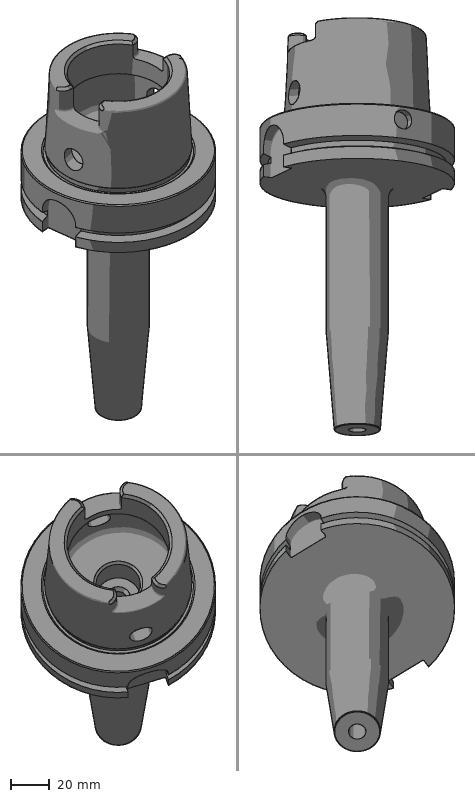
import cadquery as cq
import math

TOTAL_HEIGHT = 210.0
FLANGE_TOP = 160.4
FLANGE_BOTTOM = 131.0
NOSE_TAPER_TOP = 51.0

NECK_RADIUS = 16.0
NOSE_ANGLE = 4.5
NOSE_CHAMFER = 0.5
NECK_FILLET = 8.0

FLANGE_RADIUS = 50.0
FLANGE_CHAMFER = 0.6
GROOVE_FLOOR_RADIUS = 45.8
GROOVE_TOP = 143.2
GROOVE_BOTTOM = 137.3
GROOVE_SIDE_HEIGHT = 1.5

SHANK_BASE = 162.7
SHANK_BASE_RADIUS = 37.8
SHANK_TOP_RADIUS = 35.5
RIM_ROUND = 2.0
RIM_CHAMFER = 1.5

RELIEF_RADIUS = 37.2
RELIEF_OUTER_RADIUS = 39.5
RELIEF_DEPTH = 0.8

MOUTH_RADIUS = 26.2
MOUTH_DEPTH = 20.0
CAVITY_RADIUS = 31.5
CAVITY_FLOOR = 162.9
CAVITY_FILLET = 6.7
SHOULDER_HEIGHT = 3.1

TUBE_RADIUS = 11.3
TUBE_CHAMFER = 1.3
TUBE_DEPTH = 16.8
BORE_RADIUS = 4.5
BORE_CHAMFER = 1.9

SLOT_HALF_WIDTH = 9.9
SLOT_MOUTH_OFFSET = 32.1
POST_RADIUS = 6.0
POST_CURL = 30.0
SLOT_FLOOR_FILLET = 1.9
SILL_ROUND = 1.0
DEEP_SLOT = 15.0
SHALLOW_SLOT = 9.9

ACCESS_RADIUS = 6.0
ACCESS_HEIGHT = 174.8
ACCESS_TILT = 10.0

KEYWAY_HALF_WIDTH = 11.0
KEYWAY_TOP = 155.3
KEYWAY_FLOOR_OFFSET = 43.9
KEYWAY_FLOOR_FILLET = 0.6
CHIP_RADIUS = 5.0
CHIP_HEIGHT = 153.2
CHIP_DEPTH = 4.6

MARGIN = 10.5


def make_body():
    """Solid of revolution: nose, neck, flange, relief and shank."""
    tip_radius = NECK_RADIUS - NOSE_TAPER_TOP * math.tan(math.radians(NOSE_ANGLE))
    relief_top = SHANK_BASE - (SHANK_BASE_RADIUS - RELIEF_RADIUS)
    relief_floor = FLANGE_TOP - RELIEF_DEPTH
    profile = (
        cq.Workplane("XZ")
        .moveTo(0, 0)
        .lineTo(tip_radius - NOSE_CHAMFER, 0)
        .lineTo(tip_radius, NOSE_CHAMFER)
        .lineTo(NECK_RADIUS, NOSE_TAPER_TOP)
        .lineTo(NECK_RADIUS, FLANGE_BOTTOM - NECK_FILLET)
        .radiusArc((NECK_RADIUS + NECK_FILLET, FLANGE_BOTTOM), NECK_FILLET)
        .lineTo(FLANGE_RADIUS, FLANGE_BOTTOM)
        .lineTo(FLANGE_RADIUS, GROOVE_BOTTOM)
        .lineTo(GROOVE_FLOOR_RADIUS, GROOVE_BOTTOM + GROOVE_SIDE_HEIGHT)
        .lineTo(GROOVE_FLOOR_RADIUS, GROOVE_TOP - GROOVE_SIDE_HEIGHT)
        .lineTo(FLANGE_RADIUS, GROOVE_TOP)
        .lineTo(FLANGE_RADIUS, FLANGE_TOP - FLANGE_CHAMFER)
        .lineTo(FLANGE_RADIUS - FLANGE_CHAMFER, FLANGE_TOP)
        .lineTo(RELIEF_OUTER_RADIUS, FLANGE_TOP)
        .lineTo(RELIEF_OUTER_RADIUS - RELIEF_DEPTH, relief_floor)
        .lineTo(RELIEF_RADIUS, relief_floor)
        .lineTo(RELIEF_RADIUS, relief_top)
        .lineTo(SHANK_BASE_RADIUS, SHANK_BASE)
        .lineTo(SHANK_TOP_RADIUS, TOTAL_HEIGHT - RIM_ROUND)
        .radiusArc((SHANK_TOP_RADIUS - RIM_ROUND, TOTAL_HEIGHT), -RIM_ROUND)
        .lineTo(0, TOTAL_HEIGHT)
        .close()
    )
    return profile.revolve(360, (0, 0, 0), (0, 1, 0))


def make_cavity():
    """Undercut clamping cavity, coolant tube seat and through bore."""
    lip = TOTAL_HEIGHT - MOUTH_DEPTH
    tube_floor = CAVITY_FLOOR - TUBE_DEPTH
    profile = (
        cq.Workplane("XZ")
        .moveTo(0, 0)
        .lineTo(BORE_RADIUS, 0)
        .lineTo(BORE_RADIUS, tube_floor - BORE_CHAMFER)
        .lineTo(BORE_RADIUS + BORE_CHAMFER, tube_floor)
        .lineTo(TUBE_RADIUS, tube_floor)
        .lineTo(TUBE_RADIUS, CAVITY_FLOOR - TUBE_CHAMFER)
        .lineTo(TUBE_RADIUS + TUBE_CHAMFER, CAVITY_FLOOR)
        .lineTo(CAVITY_RADIUS - CAVITY_FILLET, CAVITY_FLOOR)
        .radiusArc((CAVITY_RADIUS, CAVITY_FLOOR + CAVITY_FILLET), -CAVITY_FILLET)
        .lineTo(CAVITY_RADIUS, lip - SHOULDER_HEIGHT)
        .lineTo(MOUTH_RADIUS, lip)
        .lineTo(MOUTH_RADIUS, TOTAL_HEIGHT - RIM_CHAMFER)
        .lineTo(MOUTH_RADIUS + RIM_CHAMFER, TOTAL_HEIGHT)
        .lineTo(0, TOTAL_HEIGHT)
        .close()
    )
    return profile.revolve(360, (0, 0, 0), (0, 1, 0))


def slot_outline(side, height):
    """Plan outline of a drive slot: narrow inside, its walls curling outwards around the posts."""
    inner = side * (MOUTH_RADIUS - MARGIN)
    centre_x = SLOT_HALF_WIDTH + POST_RADIUS
    centre_y = SLOT_MOUTH_OFFSET - POST_RADIUS
    curl = math.radians(POST_CURL)
    end_x = centre_x + POST_RADIUS * math.sin(curl)
    end_y = side * (centre_y + POST_RADIUS * math.cos(curl))
    outer_x = end_x + MARGIN
    outer_y = end_y + side * MARGIN
    return (
        cq.Workplane("XY", origin=(0, 0, height))
        .moveTo(-SLOT_HALF_WIDTH, inner)
        .lineTo(SLOT_HALF_WIDTH, inner)
        .lineTo(SLOT_HALF_WIDTH, side * centre_y)
        .radiusArc((end_x, end_y), side * POST_RADIUS)
        .lineTo(outer_x, outer_y)
        .lineTo(-outer_x, outer_y)
        .lineTo(-end_x, end_y)
        .radiusArc((-SLOT_HALF_WIDTH, side * centre_y), side * POST_RADIUS)
        .close()
    )


def cut_slot(part, side, depth):
    """Cut a drive slot with a filleted floor, chamfered top edges and a rounded sill."""
    floor = TOTAL_HEIGHT - depth
    slot = slot_outline(side, floor).extrude(depth + MARGIN)
    slot = slot.faces("<Z").edges().fillet(SLOT_FLOOR_FILLET)
    flare = slot_outline(side, TOTAL_HEIGHT - RIM_CHAMFER).extrude(RIM_CHAMFER, taper=-45)
    part = part.cut(slot).cut(flare)
    sill = cq.selectors.BoxSelector(
        (-2, side * CAVITY_RADIUS, floor - 0.2),
        (2, side * SHANK_BASE_RADIUS, floor + 0.2),
    )
    return part.edges(sill).fillet(SILL_ROUND)


def make_access_hole(side):
    """Hole through the shank wall, dropping slightly towards the outside."""
    tilt = math.radians(ACCESS_TILT)
    middle = (CAVITY_RADIUS + SHANK_BASE_RADIUS) / 2
    direction = cq.Vector(0, side * math.cos(tilt), -math.sin(tilt))
    start = cq.Vector(0, side * middle, ACCESS_HEIGHT) - direction * MARGIN
    return cq.Solid.makeCylinder(ACCESS_RADIUS, 2 * MARGIN, start, direction)


def make_keyway(side):
    """Round-ended keyway with a filleted floor, open at the underside of the flange."""
    arc_centre = KEYWAY_TOP - KEYWAY_HALF_WIDTH
    base = FLANGE_BOTTOM - MARGIN
    keyway = (
        cq.Workplane("XZ", origin=(0, side * KEYWAY_FLOOR_OFFSET, 0))
        .moveTo(-KEYWAY_HALF_WIDTH, base)
        .lineTo(-KEYWAY_HALF_WIDTH, arc_centre)
        .threePointArc((0, KEYWAY_TOP), (KEYWAY_HALF_WIDTH, arc_centre))
        .lineTo(KEYWAY_HALF_WIDTH, base)
        .close()
        .extrude(-side * MARGIN)
    )
    floor = keyway.faces("<Y" if side > 0 else ">Y")
    return floor.edges().fillet(KEYWAY_FLOOR_FILLET)


def make_chip_pocket():
    """Blind round pocket in the -X side of the flange."""
    start = cq.Vector(-FLANGE_RADIUS - MARGIN, 0, CHIP_HEIGHT)
    return cq.Solid.makeCylinder(CHIP_RADIUS, MARGIN + CHIP_DEPTH, start, cq.Vector(1, 0, 0))


body = make_body().cut(make_cavity())
SLOTS = ((-1, DEEP_SLOT), (1, SHALLOW_SLOT))
for side, depth in SLOTS:
    body = cut_slot(body, side, depth)
    body = body.cut(make_access_hole(side))
    body = body.cut(make_keyway(side))
body = body.cut(make_chip_pocket())

result = body